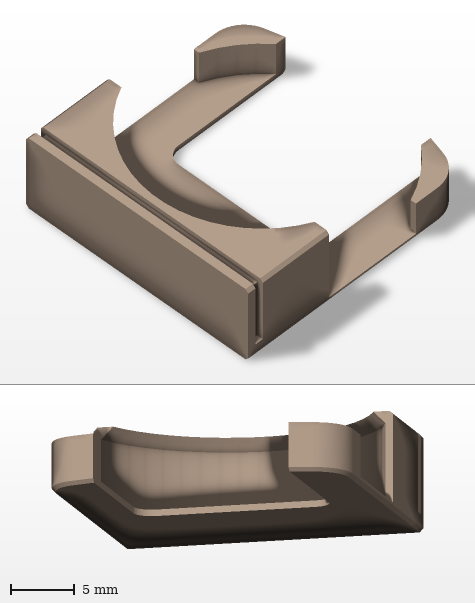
import cadquery as cq
import math

width = 24.4
length = 24.9
height = 7.9
half_width = width / 2
edge_chamfer = 0.3
overcut = 2.5

floor_thickness = 0.52
block_depth = 9.11
tip_start = 18.9
tip_height = 3.9
tip_angle = 15.0
tip_radius = 3.19
window_width = 15.94
window_start = 11.33
window_radius = 1.5

pocket_center = 14.05
pocket_radius = 12.6
opening_radius = 11.7
lip_thickness = 1.0

groove_start = 0.82
groove_width = 0.82
groove_depth = 0.6
groove_bottom = 1.3


def make_body():
    """Full-height outline with sloping rear edges, rounded rear corners and chamfers."""
    slope = math.tan(math.radians(tip_angle))
    apex_y = length + window_width / 2 * slope
    corner_y = apex_y - half_width * slope
    outline = [
        (-half_width, 0),
        (half_width, 0),
        (half_width, corner_y),
        (0, apex_y),
        (-half_width, corner_y),
    ]
    body = cq.Workplane("XY").polyline(outline).close().extrude(height)
    rear_corners = cq.selectors.BoxSelector(
        (-width, corner_y - 0.25, 0), (width, corner_y + 0.25, height)
    )
    body = body.edges("|Z").edges(rear_corners).fillet(tip_radius)
    body = body.faces("<Z").edges("not <Y").chamfer(edge_chamfer)
    return body.faces(">Z").edges("<X or >X").chamfer(edge_chamfer)


def across_cut(y_start, y_end, z_start):
    """Full-width cutter from z_start up past the top."""
    return cq.Workplane("XY").box(
        2 * width, y_end - y_start, height, centered=(True, False, False)
    ).translate((0, y_start, z_start))


def make_window():
    """Open-backed window between the arms, with rounded front corners."""
    window = cq.Workplane("XY").box(
        window_width, length, height + 2 * overcut, centered=(True, False, False)
    )
    window = window.edges("|Z and <Y").fillet(window_radius)
    return window.translate((0, window_start, -overcut))


def make_pocket():
    """Round cutter, straight up to the lip and then narrowing to the top opening."""
    lip_bottom = height - lip_thickness
    profile = [
        (0, floor_thickness),
        (pocket_radius, floor_thickness),
        (pocket_radius, lip_bottom),
        (opening_radius, height),
        (0, height),
    ]
    pocket = cq.Workplane("XZ").polyline(profile).close().revolve(360, (0, 0), (0, 1))
    return pocket.translate((0, pocket_center, 0))


def make_groove():
    """Shallow inverted-U channel around the block."""
    outer = across_cut(groove_start, groove_start + groove_width, groove_bottom)
    core = cq.Workplane("XY").box(
        width - 2 * groove_depth, length, height - groove_depth, centered=(True, False, False)
    )
    return outer.cut(core)


result = (
    make_body()
    .cut(across_cut(block_depth, tip_start, floor_thickness))
    .cut(across_cut(tip_start, length + overcut, tip_height))
    .cut(make_window())
    .cut(make_pocket())
    .cut(make_groove())
)